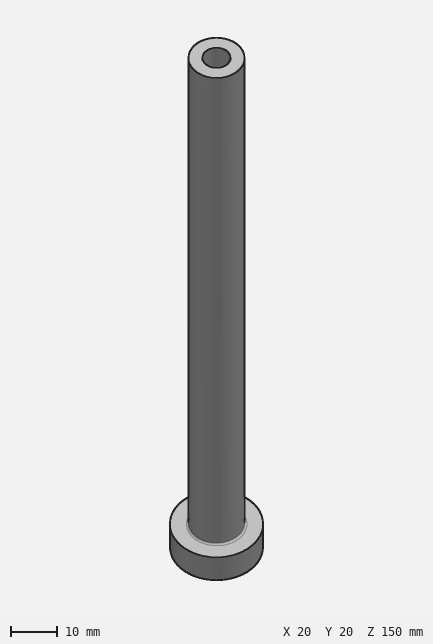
import cadquery as cq

total_length = 150.0
head_diameter = 20.0
head_height = 7.0
shaft_diameter = 12.0
bore_diameter = 6.0
root_fillet = 0.5

head = cq.Workplane("XY").circle(head_diameter / 2).extrude(head_height)
shaft = cq.Workplane("XY").circle(shaft_diameter / 2).extrude(total_length)
bore = cq.Workplane("XY").circle(bore_diameter / 2).extrude(total_length)

root_edge = cq.selectors.RadiusNthSelector(0)
body = head.union(shaft)
body = body.faces(cq.selectors.NearestToPointSelector((0, 0, head_height))).edges(root_edge).fillet(root_fillet)

result = body.cut(bore)